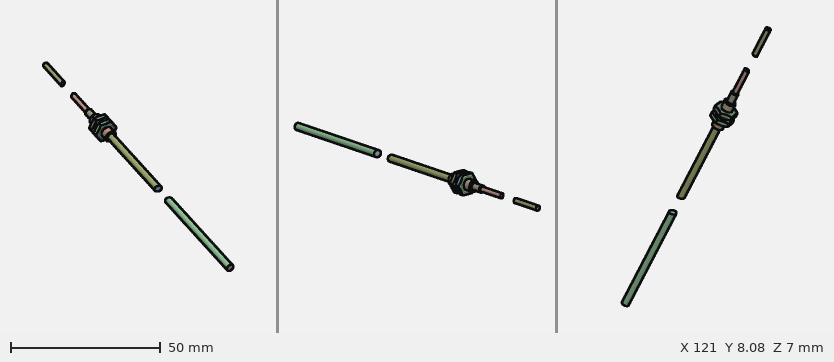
import cadquery as cq
import math

TOTAL_LENGTH = 121.0

FIBRE_DIAMETER = 1.8
TIP_END = 11.4
STUB_START = 18.2

CABLE_DIAMETER = 2.5
CABLE_END = 73.8
TAIL_START = 80.7

FIBRE_BREAK_ANGLE = -14.0
CABLE_BREAK_ANGLE = 14.0

COLLAR_START = 28.0
COLLAR_DIAMETER = 2.5
COLLAR_CHAMFER = 0.2
BARREL_START = 32.0
BARREL_END = 42.8
BARREL_DIAMETER = 4.0
BARREL_CHAMFER = 0.4

NUT_STARTS = (35.1, 38.0)
NUT_THICKNESS = 2.0
NUT_ACROSS_FLATS = 7.0
NUT_ACROSS_CORNERS = NUT_ACROSS_FLATS / math.cos(math.radians(30))
NUT_FACE_DIAMETER = 5.8
NUT_CHAMFER_ANGLE = 15.0
WASHER_DIAMETER = 5.5
WASHER_START = NUT_STARTS[0] + NUT_THICKNESS
WASHER_THICKNESS = NUT_STARTS[1] - WASHER_START


def cylinder(start, end, diameter):
    """Round bar on the X axis from start to end."""
    return cq.Workplane("YZ", origin=(start, 0, 0)).circle(diameter / 2).extrude(end - start)


def broken_rod(start, end, diameter, angle, slant_start, slant_end):
    """Round bar whose chosen ends are cut by a plane leaning in Y."""
    radius = diameter / 2
    lean = radius * math.tan(math.radians(angle))
    start_lean = lean if slant_start else 0
    end_lean = lean if slant_end else 0
    side_outline = [
        (start - start_lean, -radius),
        (end - end_lean, -radius),
        (end + end_lean, radius),
        (start + start_lean, radius),
    ]
    trimmer = cq.Workplane("XY").polyline(side_outline).close().extrude(radius, both=True)
    bar = cylinder(start - abs(lean), end + abs(lean), diameter)
    return bar.intersect(trimmer)


def hex_nut(start):
    """Hexagon with corners along Y, both faces coned back outside a flat round land."""
    land_radius = NUT_FACE_DIAMETER / 2
    corner_radius = NUT_ACROSS_CORNERS / 2
    drop = (corner_radius - land_radius) * math.tan(math.radians(NUT_CHAMFER_ANGLE))
    end = start + NUT_THICKNESS
    cone_profile = [
        (start, 0),
        (start, land_radius),
        (start + drop, corner_radius),
        (end - drop, corner_radius),
        (end, land_radius),
        (end, 0),
    ]
    coned_disc = cq.Workplane("XY").polyline(cone_profile).close().revolve(360, (0, 0, 0), (1, 0, 0))
    hexagon = (
        cq.Workplane("YZ", origin=(start, 0, 0))
        .polygon(6, NUT_ACROSS_CORNERS)
        .extrude(NUT_THICKNESS)
    )
    return hexagon.intersect(coned_disc)


def make_fitting():
    """Barrel with collar, nuts and washer, carrying the fibre stub and the fixed cable."""
    barrel = cylinder(BARREL_START, BARREL_END, BARREL_DIAMETER).faces("<X").chamfer(BARREL_CHAMFER)
    collar = cylinder(COLLAR_START, BARREL_START, COLLAR_DIAMETER).faces("<X").chamfer(COLLAR_CHAMFER)
    fitting = barrel.union(collar)
    for nut_start in NUT_STARTS:
        fitting = fitting.union(hex_nut(nut_start))
    washer = cylinder(WASHER_START, WASHER_START + WASHER_THICKNESS, WASHER_DIAMETER)
    stub = broken_rod(STUB_START, COLLAR_START, FIBRE_DIAMETER, FIBRE_BREAK_ANGLE, True, False)
    cable = broken_rod(BARREL_END, CABLE_END, CABLE_DIAMETER, CABLE_BREAK_ANGLE, False, True)
    return fitting.union(washer).union(stub).union(cable)


fibre_tip = broken_rod(0, TIP_END, FIBRE_DIAMETER, FIBRE_BREAK_ANGLE, False, True)
fitting = make_fitting()
cable_tail = broken_rod(TAIL_START, TOTAL_LENGTH, CABLE_DIAMETER, CABLE_BREAK_ANGLE, True, False)

result = cq.Compound.makeCompound([fibre_tip.val(), fitting.val(), cable_tail.val()])